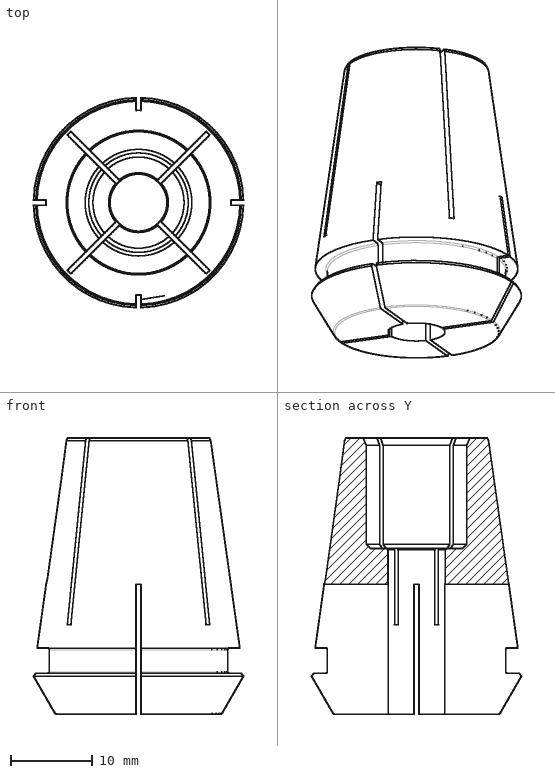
import cadquery as cq
import math

height = 34.0
flange_radius = 12.92

flange_rim_z = 4.7
flange_top_z = 5.05
flange_top_radius = 12.65
flank_angle = 30.0
foot_radius = flange_radius - flange_rim_z * math.tan(math.radians(flank_angle))
foot_fillet = 0.25

groove_radius = 10.98
groove_fillet = 0.2
cone_base_z = 8.15
cone_base_radius = 12.48
cone_angle = 8.0
top_edge_height = 0.35
top_edge_width = 0.17
cone_top_z = height - top_edge_height
cone_top_radius = cone_base_radius - (cone_top_z - cone_base_z) * math.tan(math.radians(cone_angle))

bore_radius = 7.0 / 2
bore_edge = 0.17
relief_radius = 6.12
relief_mouth_radius = 6.55
relief_mouth_depth = 0.92
relief_floor_radius = 5.6
relief_floor_z = 20.4
relief_floor_edge = relief_radius - relief_floor_radius

slot_width = 0.6
lower_slot_top_z = 15.98
upper_slot_floor_z = 11.0
slot_length = 2.5 * flange_radius


def revolve_profile(points):
    """Revolve a closed (radius, z) outline about the Z axis."""
    return cq.Workplane("XZ").polyline(points).close().revolve(360, (0, 0), (0, 1))


def outer_body():
    body = revolve_profile([
        (0, 0),
        (foot_radius, 0),
        (flange_radius, flange_rim_z),
        (flange_top_radius, flange_top_z),
        (groove_radius, flange_top_z),
        (groove_radius, cone_base_z),
        (cone_base_radius, cone_base_z),
        (cone_top_radius, cone_top_z),
        (cone_top_radius - top_edge_width, height),
        (0, height),
    ])

    def edge_at(radius, z):
        """Select the circular edge of the given radius at height z."""
        margin = 0.05
        reach = radius + margin
        box = cq.selectors.BoxSelector((-reach, -reach, z - margin), (reach, reach, z + margin), True)
        return body.edges("%CIRCLE").edges(box).edges(cq.selectors.RadiusNthSelector(0))

    body = edge_at(foot_radius, 0).fillet(foot_fillet)
    for root_z in (flange_top_z, cone_base_z):
        body = edge_at(groove_radius, root_z).fillet(groove_fillet)
    return body


def stepped_bore():
    return revolve_profile([
        (0, 0),
        (bore_radius, 0),
        (bore_radius, relief_floor_z - bore_edge),
        (bore_radius + bore_edge, relief_floor_z),
        (relief_floor_radius, relief_floor_z),
        (relief_radius, relief_floor_z + relief_floor_edge),
        (relief_radius, height - relief_mouth_depth),
        (relief_mouth_radius, height),
        (0, height),
    ])


def crossed_slots(bottom_z, top_z, first_angle):
    """Two slots crossing on the axis at right angles."""
    slot = cq.Workplane("XY", origin=(0, 0, bottom_z)).rect(slot_length, slot_width).extrude(top_z - bottom_z)
    slot = slot.rotate((0, 0, 0), (0, 0, 1), first_angle)
    return slot.union(slot.rotate((0, 0, 0), (0, 0, 1), 90))


result = outer_body().cut(stepped_bore())
result = result.cut(crossed_slots(0, lower_slot_top_z, 0))
result = result.cut(crossed_slots(upper_slot_floor_z, height, 45))